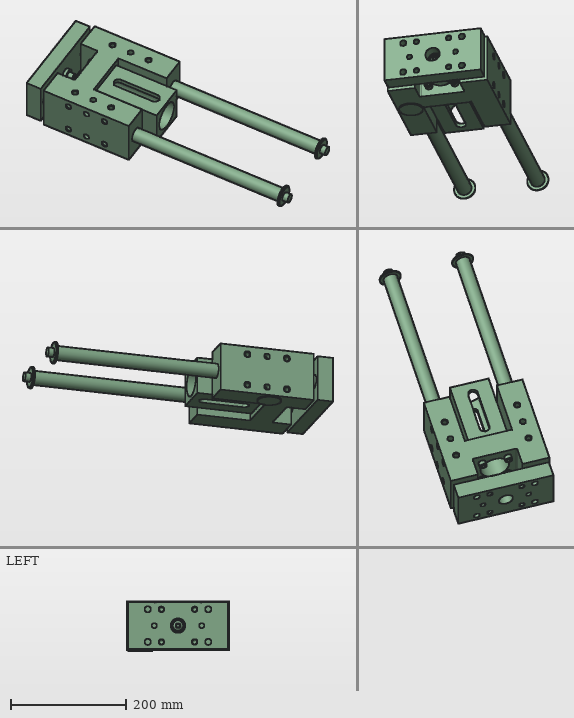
import cadquery as cq
import math

plate_thickness = 28.5
plate_width = 171.5
plate_height = 80.5

housing_front = 36.0
housing_rear = 206.0
housing_width = 178.0
housing_height = 85.5

web_front = 70.0
web_rear = 110.0
notch_width = 80.0
notch_corner_radius = 2.5
opening_width = 85.5

block_rear = 231.0
block_width = 70.0
block_height = 65.5
slot_start = 126.0
slot_end = 216.0
slot_width = 17.5

drive_bore_diameter = 51.5
screw_head_diameter = 13.0
screw_head_height = 7.5
screw_spacing_y = 46.5
screw_socket_diameter = 6.5
screw_socket_depth = 4.0
screw_spacing_z = 48.5

housing_hole_x = 85.5
housing_hole_pitch = 36.0
housing_tap_diameter = 8.5
housing_tap_mouth = 11.5
housing_dowel_diameter = 10.5
housing_tap_depth = 23.0
housing_dowel_depth = 15.5
side_hole_z = 28.5
drill_tip_angle = 118

foot_diameter = 41.5
foot_height = 2.0
foot_x = 110.0

rod_diameter = 25.0
rod_y = 65.5
rod_rear = 500.0
washer_diameter = 38.0
washer_thickness = 3.5
washer_chamfer = 1.5
stub_diameter = 16.0
total_length = 514.0

plate_plain_diameter = 11.0
plate_plain_y = 52.5
plate_tap_diameter = 8.0
plate_tap_mouth = 10.0
plate_tap_y = 29.0
plate_hole_z = 28.5
plate_hole_depth = 18.0
plate_dowel_diameter = 8.5
plate_dowel_y = 41.0

plate_bore_diameter = 25.0
plate_bore_depth = 20.5
collar_diameter = 21.0
collar_front = 19.0
collar_rear = 35.0
tip_diameter = 18.0
tip_front = 14.5
tip_flat_diameter = 8.0
tip_chamfer_length = 4.0
tip_socket_diameter = 6.0
tip_socket_depth = 3.0
stud_diameter = 12.5
stud_rear = 47.0
stud_chamfer = 1.5


def cylinder(x_start, x_end, diameter, y=0.0, z=0.0):
    """Cylinder along X."""
    return cq.Workplane("YZ", origin=(x_start, y, z)).circle(diameter / 2).extrude(x_end - x_start)


def box(x_start, x_end, width, height):
    """Box along X, centred on the X axis."""
    return cq.Workplane("YZ", origin=(x_start, 0, 0)).rect(width, height).extrude(x_end - x_start)


def drilled_hole(point, direction, diameter, depth, mouth_diameter):
    """Cutter for a blind hole with a chamfered mouth and a conical tip."""
    radius = diameter / 2
    mouth_radius = mouth_diameter / 2
    tip = depth + radius / math.tan(math.radians(drill_tip_angle / 2))
    profile = [(0, 0), (mouth_radius, 0), (radius, mouth_radius - radius), (radius, depth), (0, tip)]
    cutter = cq.Workplane("XY").polyline(profile).close().revolve(360, (0, 0, 0), (0, 1, 0)).val()
    plane = cq.Plane(origin=point, xDir=perpendicular(direction), normal=direction)
    upright = cutter.rotate(cq.Vector(0, 0, 0), cq.Vector(1, 0, 0), 90)
    return upright.moved(cq.Location(plane))


def flat_hole(point, direction, diameter, depth):
    """Cutter for a blind hole with a flat bottom."""
    return cq.Solid.makeCylinder(diameter / 2, depth, cq.Vector(*point), cq.Vector(*direction))


def perpendicular(direction):
    """A unit axis at right angles to an axis direction."""
    return (0, 1, 0) if direction[0] else (1, 0, 0)


def cut_hole_row(housing, y, z, direction):
    """Three holes along X: a dowel hole between two tapped holes."""
    for index in range(3):
        point = (housing_hole_x + index * housing_hole_pitch, y, z)
        if index == 1:
            cutter = flat_hole(point, direction, housing_dowel_diameter, housing_dowel_depth)
        else:
            cutter = drilled_hole(point, direction, housing_tap_diameter, housing_tap_depth, housing_tap_mouth)
        housing = housing.cut(cq.Workplane(cutter))
    return housing


def make_screw_head(y, z):
    """Socket screw head standing on the front face of the web."""
    head_front = web_front - screw_head_height
    head = cylinder(head_front, web_front, screw_head_diameter, y, z)
    socket = cylinder(head_front, head_front + screw_socket_depth, screw_socket_diameter, y, z)
    return head.cut(socket)


def make_housing():
    housing = box(housing_front, housing_rear, housing_width, housing_height)

    notch = box(housing_front, web_front, notch_width, housing_height)
    notch = notch.faces(">X").edges("|Z").fillet(notch_corner_radius)
    opening = box(web_rear, housing_rear, opening_width, housing_height)
    housing = housing.cut(notch).cut(opening)

    slot_length = slot_end - slot_start
    slot = (
        cq.Workplane("XY", origin=((slot_start + slot_end) / 2, 0, -block_height / 2))
        .slot2D(slot_length, slot_width)
        .extrude(block_height)
    )
    block = box(web_rear, block_rear, block_width, block_height).cut(slot)
    housing = housing.union(block)

    housing = housing.cut(cylinder(web_front, block_rear, drive_bore_diameter))
    for side in (-1, 1):
        for level in (-1, 1):
            head = make_screw_head(side * screw_spacing_y / 2, level * screw_spacing_z / 2)
            housing = housing.union(head)

    for side in (-1, 1):
        housing = cut_hole_row(housing, side * rod_y, housing_height / 2, (0, 0, -1))
        for level in (-1, 1):
            housing = cut_hole_row(housing, side * housing_width / 2, level * side_hole_z, (0, -side, 0))

    foot = (
        cq.Workplane("XY", origin=(foot_x, rod_y, -housing_height / 2))
        .circle(foot_diameter / 2)
        .extrude(-foot_height)
    )
    housing = housing.union(foot)

    for side in (-1, 1):
        housing = housing.cut(cylinder(housing_front, housing_rear, rod_diameter, side * rod_y))
    return housing


def make_rod(y):
    """Guide rod with an end washer and a stub behind it."""
    washer_rear = rod_rear + washer_thickness
    washer = cylinder(rod_rear, washer_rear, washer_diameter, y).faces(">X").edges().chamfer(washer_chamfer)
    stub = cylinder(washer_rear, total_length, stub_diameter, y)
    return cylinder(plate_thickness, rod_rear, rod_diameter, y).union(washer).union(stub)


def make_carriage():
    """End plate with its two guide rods and the coupling stud."""
    plate = box(0, plate_thickness, plate_width, plate_height)
    inward = (1, 0, 0)
    for side in (-1, 1):
        dowel = flat_hole((0, side * plate_dowel_y, 0), inward, plate_dowel_diameter, plate_hole_depth)
        plate = plate.cut(cq.Workplane(dowel))
        for level in (-1, 1):
            z = level * plate_hole_z
            plain = flat_hole((0, side * plate_plain_y, z), inward, plate_plain_diameter, plate_hole_depth)
            tapped = drilled_hole(
                (0, side * plate_tap_y, z), inward, plate_tap_diameter, plate_hole_depth, plate_tap_mouth
            )
            plate = plate.cut(cq.Workplane(plain)).cut(cq.Workplane(tapped))
        plate = plate.union(make_rod(side * rod_y))
    return plate.cut(cylinder(0, plate_bore_depth, plate_bore_diameter)).union(make_stud())


def make_stud():
    """Collar in the end plate with a bevelled tip in front of it and a stud behind it."""
    collar = cylinder(collar_front, collar_rear, collar_diameter)
    bevel_width = (tip_diameter - tip_flat_diameter) / 2
    tip = cylinder(tip_front, collar_front, tip_diameter)
    tip = tip.faces("<X").edges().chamfer(tip_chamfer_length, bevel_width)
    socket = cylinder(tip_front, tip_front + tip_socket_depth, tip_socket_diameter)
    stud = cylinder(collar_rear, stud_rear, stud_diameter).faces(">X").edges().chamfer(stud_chamfer)
    return collar.union(tip).cut(socket).union(stud)


housing = make_housing()
carriage = make_carriage()

result = cq.Compound.makeCompound([housing.val(), carriage.val()])